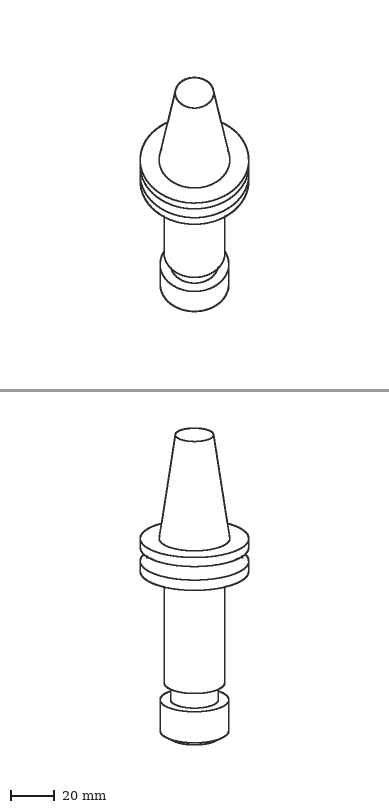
import cadquery as cq
import math

total_height = 147.8

nut_radius = 31.6 / 2
nut_face_radius = 23.0 / 2
nut_chamfer_height = 2.7
nut_height = 17.9

neck_radius = 22.0 / 2
neck_height = 8.3
neck_fillet = 0.5
body_radius = 28.0 / 2
body_fillet = 5.0

flange_radius = 50.0 / 2
flange_height = 16.1
groove_radius = 44.0 / 2
lower_land_height = 5.0
upper_land_height = 4.5
groove_flank_angle = 30
groove_fillet = 0.6
flank_height = (flange_radius - groove_radius) * math.tan(math.radians(groove_flank_angle))

taper_height = 50.8
taper_large_radius = 32.5 / 2
taper_ratio = 7 / 24
taper_small_radius = taper_large_radius - taper_height * taper_ratio / 2

nut_top = nut_height
body_bottom = nut_top + neck_height
flange_top = total_height - taper_height
flange_bottom = flange_top - flange_height
groove_bottom = flange_bottom + lower_land_height
groove_top = flange_top - upper_land_height
groove_floor_bottom = groove_bottom + flank_height
groove_floor_top = groove_top - flank_height


def revolve_outline(points):
    """Revolve a closed (radius, height) outline about the Z axis."""
    return cq.Workplane("XZ").polyline(points).close().revolve(360, (0, 0), (0, 1))


def flared_cylinder(radius, bottom, top, fillet):
    """Cylinder whose top end flares out through a quarter-circle fillet."""
    profile = (
        cq.Workplane("XZ")
        .moveTo(0, bottom)
        .lineTo(radius, bottom)
        .lineTo(radius, top - fillet)
        .tangentArcPoint((radius + fillet, top), relative=False)
        .lineTo(0, top)
        .close()
    )
    return profile.revolve(360, (0, 0), (0, 1))


nut = revolve_outline([
    (0, 0),
    (nut_face_radius, 0),
    (nut_radius, nut_chamfer_height),
    (nut_radius, nut_top),
    (0, nut_top),
])

neck = flared_cylinder(neck_radius, nut_top, body_bottom, neck_fillet)

body = flared_cylinder(body_radius, body_bottom, flange_bottom, body_fillet)

flange_and_taper = revolve_outline([
    (0, flange_bottom),
    (flange_radius, flange_bottom),
    (flange_radius, groove_bottom),
    (groove_radius, groove_floor_bottom),
    (groove_radius, groove_floor_top),
    (flange_radius, groove_top),
    (flange_radius, flange_top),
    (taper_large_radius, flange_top),
    (taper_small_radius, total_height),
    (0, total_height),
])

groove_zone = cq.selectors.BoxSelector(
    (-flange_radius, -flange_radius, groove_floor_bottom - groove_fillet),
    (flange_radius, flange_radius, groove_floor_top + groove_fillet),
)
floor_corners = flange_and_taper.edges("%CIRCLE").edges(groove_zone)
flange_and_taper = floor_corners.fillet(groove_fillet)

result = nut.union(neck).union(body).union(flange_and_taper)